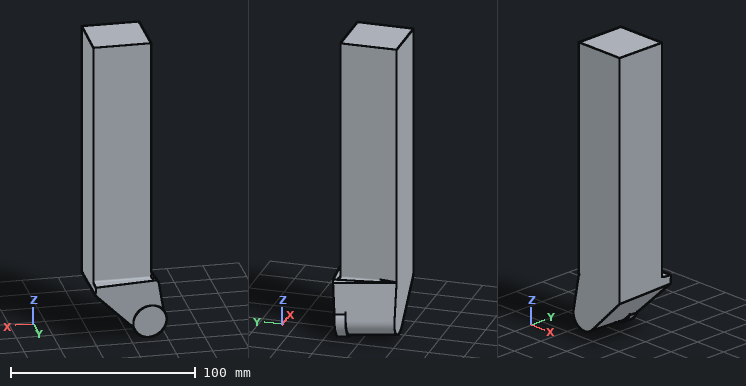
import cadquery as cq
import math

total_height = 171.3

shank_size = 31.9
shank_width = 31.7
side_lean = 0.01
shank_bottom = 30.8

insert_diameter = 19.0
insert_thickness = 6.2

rake_slope_x = 0.1
rake_slope_z = 0.08
rim_drop = insert_diameter / 2 * math.sqrt(
    (1 + rake_slope_x**2) / (1 + rake_slope_x**2 + rake_slope_z**2)
)
insert_center = (1.0, 33.5, rim_drop)

nose_radius = 8.5
flank_angle = 10.5
relief_angle = 45.0
flank_top = 23.0
bevel_angle = 35.0
outline_top = 30.8
head_reach = 51.4
head_depth = 51.4

ledge_front_height = 35.0
ledge_back_height = 33.8
ledge_depth = 38.5
ledge_cove_radius = 1.2

rake_plane = cq.Plane(
    origin=insert_center,
    xDir=(1, rake_slope_x, 0),
    normal=(rake_slope_x, -1, rake_slope_z),
)


def side_prism(left, depth, bottom, top):
    """Upright block from the front face back, with the leaning right side."""
    outline = [
        (left, 0),
        (shank_width, 0),
        (shank_width + side_lean * depth, depth),
        (left, depth),
    ]
    return cq.Workplane("XY", origin=(0, 0, bottom)).polyline(outline).close().extrude(top - bottom)


def nose_point(degrees):
    """Point on the nose arc at an angle from local X."""
    angle = math.radians(degrees)
    return (nose_radius * math.cos(angle), nose_radius * math.sin(angle))


def make_head_prism():
    """Head outline swept square to the rake face, open above the ledge."""
    flank_tan = math.tan(math.radians(flank_angle))
    bevel_tan = math.tan(math.radians(bevel_angle))
    flank_x, flank_y = nose_point(180 - flank_angle)
    relief_x, relief_y = nose_point(-relief_angle)
    bevel_x = flank_x + (flank_top - flank_y) * flank_tan
    relief_rise = (head_reach - relief_x) / math.tan(math.radians(relief_angle))
    return (
        cq.Workplane(rake_plane)
        .moveTo(relief_x, relief_y)
        .lineTo(head_reach, relief_y + relief_rise)
        .lineTo(bevel_x + (outline_top - flank_top) * bevel_tan, outline_top)
        .lineTo(bevel_x, flank_top)
        .lineTo(flank_x, flank_y)
        .threePointArc(nose_point(-90 - flank_angle), (relief_x, relief_y))
        .close()
        .extrude(head_depth)
    )


def make_ledge_block(shank):
    """Oversized block under the ledge, coved into the shank."""
    ledge_slope = (ledge_back_height - ledge_front_height) / ledge_depth
    far_height = ledge_front_height + ledge_slope * head_depth
    under_ledge = (
        cq.Workplane("YZ", origin=(-head_reach, 0, 0))
        .polyline([
            (0, -head_reach),
            (0, ledge_front_height),
            (head_depth, far_height),
            (head_depth, -head_reach),
        ])
        .close()
        .extrude(3 * head_reach)
    )
    block = side_prism(-head_reach, head_depth, -head_reach, total_height).intersect(under_ledge)
    margin = 0.2
    foot_edges = cq.selectors.BoxSelector(
        (-margin, -margin, far_height),
        (shank_width + margin, shank_size + margin, ledge_front_height + margin),
    )
    return block.union(shank).edges(foot_edges).fillet(ledge_cove_radius)


def make_holder():
    shank = side_prism(0, shank_size, shank_bottom, total_height)
    head = make_ledge_block(shank).intersect(make_head_prism())
    return shank.union(head)


def make_insert():
    return cq.Workplane(rake_plane).circle(insert_diameter / 2).extrude(insert_thickness)


insert = make_insert()
holder = make_holder().cut(insert)

result = cq.Compound.makeCompound([holder.val(), insert.val()])